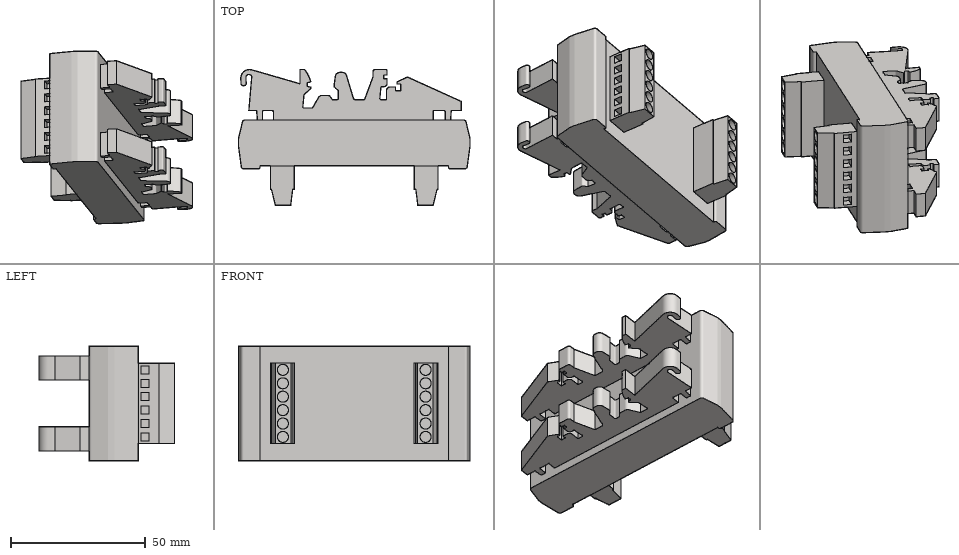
import cadquery as cq
import math


overall_depth = 50.68

housing_length = 86.5
housing_height = 42.8
housing_rear_length = 83.1
housing_front_length = 84.1
side_rear_y = -7.2
side_front_y = -9.5
panel_y = -17.2
lip_height = 1.1
lip_front_y = panel_y - lip_height
panel_length = 70.2
rear_corner_radius = 1.2
front_corner_radius = 1.0
lip_edge_radius = 0.6

foot_width = 9.1
foot_center_z = 13.2
foot_rear_y = 18.79
foot_underside_y = 3.4
foot_overlap = 0.5
rail_seat_y = 7.55

pole_count = 6
pole_pitch = 5.0
block_height = pole_count * pole_pitch
block_outer_x = 31.26
block_inner_x = 22.37
block_shoulder_y = -25.95
block_front_y = foot_rear_y - overall_depth
nose_outer_x = 29.44
nose_inner_x = 23.67
outer_ledge = 0.35
inner_ledge = 0.55
screw_hole_diameter = 4.1
screw_hole_depth = 6.0
screw_hole_x = 26.6
wire_hole_size = 3.0
wire_hole_depth = 4.0
wire_hole_y = -20.85


def rounded_outline(corners):
    """Closed wire through (x, y) or (x, y, radius) corners, given radii becoming tangent arcs."""
    path = cq.Workplane("XY")
    for index, (x, y, *radius) in enumerate(corners):
        corner = cq.Vector(x, y)
        if radius:
            previous = cq.Vector(*corners[index - 1][:2])
            following = cq.Vector(*corners[(index + 1) % len(corners)][:2])
            arriving = (previous - corner).normalized()
            leaving = (following - corner).normalized()
            half_angle = arriving.getAngle(leaving) / 2
            setback = radius[0] / math.tan(half_angle)
            bulge = radius[0] / math.sin(half_angle) - radius[0]
            start = corner + arriving * setback
            middle = corner + (arriving + leaving).normalized() * bulge
            end = corner + leaving * setback
            path = path.lineTo(start.x, start.y) if index else path.moveTo(start.x, start.y)
            path = path.threePointArc((middle.x, middle.y), (end.x, end.y))
        else:
            path = path.lineTo(x, y) if index else path.moveTo(x, y)
    return path.close()


def extrude_centered(corners, height, center_z=0.0):
    """Solid of the outline extruded along Z, half of its height to each side of center_z."""
    solid = rounded_outline(corners).extrude(height / 2, both=True)
    return solid.translate((0, 0, center_z))


def make_housing():
    right_side = [
        (panel_length / 2, panel_y),
        (panel_length / 2, lip_front_y, lip_edge_radius),
        (housing_front_length / 2, lip_front_y, front_corner_radius),
        (housing_length / 2, side_front_y),
        (housing_length / 2, side_rear_y),
        (housing_rear_length / 2, 0, rear_corner_radius),
    ]
    left_side = [(-x, *rest) for x, *rest in reversed(right_side)]
    return extrude_centered(right_side + left_side, housing_height)


def make_foot(center_z):
    spring_hook = [
        (-36.15, -foot_overlap),
        (-36.15, 0),
        (-36.45, foot_underside_y),
        (-39.35, foot_underside_y),
        (-38.2, 16.85, 0.9),
        (-40.4, 16.85, 0.9),
        (-40.2, 12.7, 0.9),
        (-42.25, 12.7, 0.9),
        (-42.5, 19.92, 3.3),
        (-20.3, 13.5),
    ]
    left_claw = [
        (-20.3, foot_rear_y),
        (-18.5, foot_rear_y),
        (-16.85, 16.5, 12.0),
        (-16.15, 14.2),
        (-17.5, 13.75),
        (-17.5, 12.5),
        (-16.05, 12.15),
        (-16.05, 11.75),
        (-18.7, 9.4, 0.5),
        (-19.15, 4.45, 0.3),
        (-15.6, 4.45),
        (-12.9, 9.12, 1.5),
        (-9.3, 9.12, 0.8),
        (-8.1, rail_seat_y),
    ]
    middle_finger = [
        (-6.0, rail_seat_y, 0.4),
        (-6.0, 10.9),
        (-7.6, 12.4, 0.6),
        (-6.9, 17.75, 1.9),
        (-3.2, 17.75, 1.9),
        (-0.15, rail_seat_y, 0.8),
    ]
    right_claw = [
        (3.8, rail_seat_y),
        (6.95, 16.0),
        (6.95, foot_rear_y, 0.9),
        (12.3, foot_rear_y, 0.6),
        (12.3, 16.7),
        (11.0, 16.7),
        (11.0, 15.4),
        (12.3, 15.4),
        (12.3, 12.3, 1.3),
        (10.0, 12.3),
        (9.55, rail_seat_y, 0.4),
        (12.0, rail_seat_y),
    ]
    wedge = [
        (12.0, 12.25, 1.3),
        (15.4, 12.25),
        (15.4, 10.9),
        (17.25, 10.9),
        (17.25, 13.35),
        (15.85, 13.35),
        (15.85, 14.1),
        (19.8, 16.0),
        (39.9, 6.9),
        (39.9, foot_underside_y),
        (36.2, foot_underside_y),
        (36.0, 0),
        (36.0, -foot_overlap),
    ]
    right_window = [
        (33.9, -foot_overlap),
        (33.9, foot_underside_y, 0.3),
        (29.5, foot_underside_y),
        (29.5, -foot_overlap),
    ]
    left_window = [
        (-30.2, -foot_overlap),
        (-30.2, foot_underside_y, 0.3),
        (-34.15, foot_underside_y, 0.3),
        (-34.15, -foot_overlap),
    ]
    outline = spring_hook + left_claw + middle_finger + right_claw + wedge + right_window + left_window
    return extrude_centered(outline, foot_width, center_z)


def make_right_terminal_block():
    block = extrude_centered(
        [
            (block_inner_x, panel_y),
            (block_inner_x, block_shoulder_y),
            (block_inner_x + inner_ledge, block_shoulder_y),
            (nose_inner_x, block_front_y),
            (nose_outer_x, block_front_y),
            (block_outer_x - outer_ledge, block_shoulder_y),
            (block_outer_x, block_shoulder_y),
            (block_outer_x, panel_y),
        ],
        block_height,
    )
    for pole in range(pole_count):
        pole_z = (pole - (pole_count - 1) / 2) * pole_pitch
        screw_hole = cq.Solid.makeCylinder(
            screw_hole_diameter / 2,
            screw_hole_depth,
            cq.Vector(screw_hole_x, block_front_y, pole_z),
            cq.Vector(0, 1, 0),
        )
        wire_hole = cq.Workplane("XY").box(wire_hole_depth, wire_hole_size, wire_hole_size)
        wire_hole = wire_hole.translate((block_outer_x - wire_hole_depth / 2, wire_hole_y, pole_z))
        block = block.cut(cq.Workplane(screw_hole)).cut(wire_hole)
    return block


right_block = make_right_terminal_block()
left_block = right_block.mirror("YZ")

result = make_housing().union(right_block).union(left_block)
for side in (-1, 1):
    result = result.union(make_foot(side * foot_center_z))